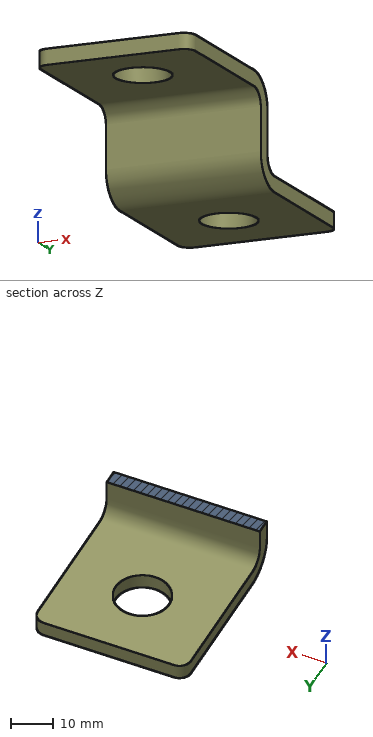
import cadquery as cq

width = 40.0
length = 86.0
height = 27.0
thickness = 4.0
inner_bend_radius = 4.0
corner_radius = 3.0
hole_diameter = 14.0
upper_hole_y = -25.5
hole_spacing = 50.0

outer_bend_radius = inner_bend_radius + thickness
half_length = length / 2
half_thickness = thickness / 2
lower_hole_y = upper_hole_y + hole_spacing
bend_center_y = half_thickness + inner_bend_radius
lower_bend_z = outer_bend_radius
upper_bend_z = height - outer_bend_radius


def bent_strip():
    """Z-shaped sheet: raised flange towards -Y, vertical web, low flange towards +Y."""
    profile = (
        cq.Workplane("YZ")
        .moveTo(half_length, 0)
        .lineTo(bend_center_y, 0)
        .radiusArc((-half_thickness, lower_bend_z), outer_bend_radius)
        .lineTo(-half_thickness, upper_bend_z)
        .radiusArc((-bend_center_y, height - thickness), -inner_bend_radius)
        .lineTo(-half_length, height - thickness)
        .lineTo(-half_length, height)
        .lineTo(-bend_center_y, height)
        .radiusArc((half_thickness, upper_bend_z), outer_bend_radius)
        .lineTo(half_thickness, lower_bend_z)
        .radiusArc((bend_center_y, thickness), -inner_bend_radius)
        .lineTo(half_length, thickness)
        .close()
    )
    return profile.extrude(width / 2, both=True)


def round_free_corners(body):
    """Round the two vertical edges at the free end of each flange."""
    rounded = body.faces("<Y").edges("|Z").fillet(corner_radius)
    return rounded.faces(">Y").edges("|Z").fillet(corner_radius)


def hole_cutters():
    """One vertical cylinder through each flange."""
    return (
        cq.Workplane("XY")
        .pushPoints([(0, upper_hole_y), (0, lower_hole_y)])
        .circle(hole_diameter / 2)
        .extrude(height)
    )


result = round_free_corners(bent_strip()).cut(hole_cutters())